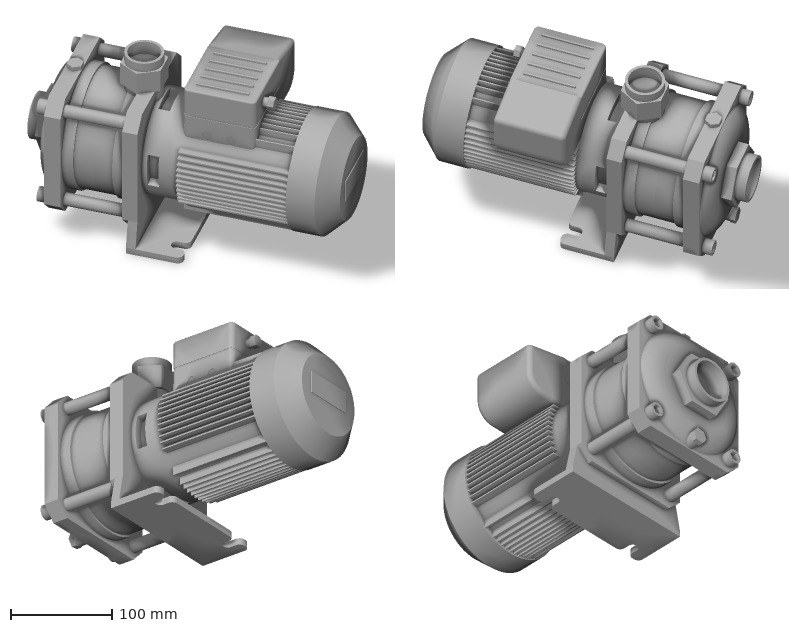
import cadquery as cq
import math


INLET_NUT_X = 11.1
DOME_X = 22.1
FRONT_FLANGE_X = 32.2
FRONT_FLANGE_END = 49.5
FRONT_RING_END = 61.3
HOUSING_SPLIT_X = 81.4
REAR_RING_X = 101.9
REAR_FLANGE_X = 113.8
REAR_FLANGE_END = 129.7
WINDOW_X = 134.8
WINDOW_LENGTH = 12.0
MOTOR_X = 158.8
FINS_X = 167.0
FAN_COVER_X = 282.3
FAN_CONE_X = 312.3
FAN_COVER_END = 332.3
OVERALL_LENGTH = 333.2

INLET_DIA = 48.4
INLET_BORE_DIA = 42.4
DOME_FACE_DIA = 90.7
DOME_DIA = 134.6
RING_DIA = 130.0
STAGE_DIA = 125.0
CORE_DIA = 110.0
WINDOW_FLOOR_DIA = 92.0
WINDOW_ANGLE = 39.4

FLANGE_SIZE = 138.0
FLANGE_CHAMFER = 15.0
SHAFT_HEIGHT = 90.0
FOOT_WIDTH = 150.0
FOOT_WEB_THICKNESS = 10.0
FOOT_PLATE_THICKNESS = 7.2
FOOT_END_X = 177.8
FOOT_CORNER_RADIUS = 6.0
FOOT_SLOT_WIDTH = 11.0
FOOT_SLOT_SPACING = 110.0
FOOT_SLOT_CENTER_X = 165.8

INLET_NUT_FLATS = 59.0
OUTLET_TOP_Z = 104.0
OUTLET_DIA = 39.7
OUTLET_BORE_DIA = 33.7
OUTLET_BORE_DEPTH = 15.0
OUTLET_NUT_FLATS = 42.0
OUTLET_NUT_TOP_Z = 93.9
PLUG_FLATS = 15.0
PLUG_HEAD_HEIGHT = 5.0
VENT_PLUG_X = 41.8
DRAIN_PLUG_Z = -60.4
DRAIN_HEAD_X = 16.5
DRAIN_HEAD_LENGTH = 5.6
DRAIN_COLLAR_DIA = 15.0
DRAIN_PLUG_TILT = 8.0

BOLT_SPACING = 108.0
BOLT_DIA = 13.45
BOLT_HEAD_DIA = 15.7
BOLT_SOCKET_FLATS = 10.0
BOLT_SOCKET_DEPTH = 6.0
BOLT_ENGAGEMENT = 10.0

FIN_TIP_DIA = 124.0
FIN_THICKNESS = 1.6
FIN_PITCH = 6.0
SIDE_FINS = 11
UPRIGHT_FINS = 9
OUTER_UPRIGHT_FIN_Y = 35.0
FAN_COVER_DIA = 126.0
FAN_COVER_END_DIA = 86.0
END_PLATE_WIDTH = 55.6
END_PLATE_HEIGHT = 23.6
END_PLATE_Z = 3.0

BOX_LENGTH = 75.4
BOX_FRONT_Y = -38.2
BOX_BACK_Y = 88.2
BOX_TOP_Z = 97.2
BOX_RIDGE_Y = 38.6
BOX_STEP_Y = 37.3
BOX_RIDGE_Z = 99.4
BOX_BACK_TOP_Z = 89.5
BOX_BOTTOM_Z = 35.3
BOX_BELLY_RADIUS = 21.5
BOX_CORNER_RADIUS = 5.0
LID_EDGE_RADIUS = 2.0
LID_SEAM_Z = 65.4
LID_SEAM_HEIGHT = 2.0
LID_SEAM_DEPTH = 0.5
LID_RIBS = 5
LID_RIB_PITCH = 13.5
LID_RIB_LENGTH = 55.0
LID_RIB_WIDTH = 2.0
LID_RIB_HEIGHT = 2.0
CABLE_ENTRY_DIA = 11.0
CABLE_ENTRY_SPACING = 25.0
CABLE_ENTRY_Z = 45.4
CABLE_ENTRY_DEPTH = 0.5
GLAND_Y = -12.0
GLAND_Z = 81.5
GLAND_DIA = 10.0
GLAND_NECK_LENGTH = 4.7
GLAND_HEAD_LENGTH = 7.2
GLAND_FLATS = 11.5


def hex_corner_dia(flats):
    return flats / math.cos(math.radians(30))


def plane_at(x):
    """Plane across the shaft: local x is +Y and local y is +Z."""
    return cq.Workplane("YZ", origin=(x, 0, 0))


def shaft_cylinder(x_start, x_end, diameter):
    return plane_at(x_start).circle(diameter / 2).extrude(x_end - x_start)


def shaft_hexagon(x, length, flats, y=0.0, z=0.0):
    """Hexagonal prism along X with flats at top and bottom."""
    return plane_at(x).center(y, z).polygon(6, hex_corner_dia(flats)).extrude(length)


def upright_hexagon(x, z, height, flats):
    """Hexagonal prism along Z with flats across X."""
    prism = cq.Workplane("XY").polygon(6, hex_corner_dia(flats)).extrude(height)
    return prism.rotate((0, 0, 0), (0, 0, 1), 30).translate((x, 0, z))


def square_flange(x_start, x_end):
    plate = plane_at(x_start).rect(FLANGE_SIZE, FLANGE_SIZE).extrude(x_end - x_start)
    return plate.edges("|X").chamfer(FLANGE_CHAMFER)


def bolt_positions(x):
    return plane_at(x).rect(BOLT_SPACING, BOLT_SPACING, forConstruction=True).vertices()


def bolt_holes(x_start, x_end):
    return bolt_positions(x_start).circle(BOLT_DIA / 2).extrude(x_end - x_start)


def dome():
    """Domed cover whose curve leaves the flat face smoothly and runs out to the flange."""
    depth = FRONT_FLANGE_X - DOME_X
    face_radius = DOME_FACE_DIA / 2
    spread = DOME_DIA / 2 - face_radius
    curve_radius = (spread**2 + depth**2) / (2 * depth)
    half_turn = math.atan2(spread, curve_radius - depth) / 2
    middle = (
        DOME_X + curve_radius * (1 - math.cos(half_turn)),
        face_radius + curve_radius * math.sin(half_turn),
    )
    outline = (
        cq.Workplane("XY")
        .moveTo(DOME_X, 0)
        .lineTo(DOME_X, face_radius)
        .threePointArc(middle, (FRONT_FLANGE_X, DOME_DIA / 2))
        .lineTo(FRONT_FLANGE_X, 0)
        .close()
    )
    return outline.revolve(360, (0, 0, 0), (1, 0, 0))


def drain_plug():
    collar_x = DRAIN_HEAD_X + DRAIN_HEAD_LENGTH
    head = shaft_hexagon(DRAIN_HEAD_X, DRAIN_HEAD_LENGTH, PLUG_FLATS)
    head = head.rotate((0, 0, 0), (1, 0, 0), DRAIN_PLUG_TILT)
    collar = shaft_cylinder(collar_x, FRONT_FLANGE_X, DRAIN_COLLAR_DIA)
    return head.union(collar).translate((0, 0, DRAIN_PLUG_Z))


def build_inlet_housing():
    housing = shaft_cylinder(0, INLET_NUT_X, INLET_DIA)
    housing = housing.union(shaft_hexagon(INLET_NUT_X, DOME_X - INLET_NUT_X, INLET_NUT_FLATS))
    housing = housing.union(dome())
    housing = housing.union(square_flange(FRONT_FLANGE_X, FRONT_FLANGE_END))
    housing = housing.union(shaft_cylinder(FRONT_FLANGE_END, FRONT_RING_END, RING_DIA))
    housing = housing.union(shaft_cylinder(FRONT_RING_END, HOUSING_SPLIT_X, STAGE_DIA))
    housing = housing.union(upright_hexagon(VENT_PLUG_X, FLANGE_SIZE / 2, PLUG_HEAD_HEIGHT, PLUG_FLATS))
    housing = housing.union(drain_plug())
    housing = housing.cut(shaft_cylinder(0, DOME_X, INLET_BORE_DIA))
    return housing.cut(bolt_holes(FRONT_FLANGE_X, FRONT_FLANGE_END))


def outlet():
    """Solid outlet port standing on the housing, centred over the front of the rear flange."""
    nut_z = FLANGE_SIZE / 2
    port = cq.Workplane("XY", origin=(REAR_FLANGE_X, 0, 0)).circle(OUTLET_DIA / 2).extrude(OUTLET_TOP_Z)
    nut = upright_hexagon(REAR_FLANGE_X, nut_z, OUTLET_NUT_TOP_Z - nut_z, OUTLET_NUT_FLATS)
    bore = (
        cq.Workplane("XY", origin=(REAR_FLANGE_X, 0, OUTLET_TOP_Z - OUTLET_BORE_DEPTH))
        .circle(OUTLET_BORE_DIA / 2)
        .extrude(OUTLET_BORE_DEPTH)
    )
    return port.union(nut).cut(bore)


def foot():
    """Flared web under the rear flange and a slotted plate reaching back below the motor."""
    web_x = REAR_FLANGE_END - FOOT_WEB_THICKNESS
    web_top_z = FLANGE_CHAMFER - FLANGE_SIZE / 2
    web = (
        plane_at(web_x)
        .moveTo(-FLANGE_SIZE / 2, web_top_z)
        .lineTo(FLANGE_SIZE / 2, web_top_z)
        .lineTo(FOOT_WIDTH / 2, FOOT_PLATE_THICKNESS - SHAFT_HEIGHT)
        .lineTo(FOOT_WIDTH / 2, -SHAFT_HEIGHT)
        .lineTo(-FOOT_WIDTH / 2, -SHAFT_HEIGHT)
        .lineTo(-FOOT_WIDTH / 2, FOOT_PLATE_THICKNESS - SHAFT_HEIGHT)
        .close()
        .extrude(FOOT_WEB_THICKNESS)
    )
    bottom = cq.Workplane("XY", origin=(0, 0, -SHAFT_HEIGHT))
    plate_length = FOOT_END_X - web_x
    plate = bottom.center(web_x + plate_length / 2, 0).rect(plate_length, FOOT_WIDTH)
    plate = plate.extrude(FOOT_PLATE_THICKNESS)
    slot_centers = [(FOOT_SLOT_CENTER_X, side * FOOT_SLOT_SPACING / 2) for side in (-1, 1)]
    slot_ends = bottom.pushPoints(slot_centers).circle(FOOT_SLOT_WIDTH / 2).extrude(FOOT_PLATE_THICKNESS)
    mouth_length = FOOT_END_X - FOOT_SLOT_CENTER_X
    mouth_centers = [(x + mouth_length / 2, y) for x, y in slot_centers]
    mouths = bottom.pushPoints(mouth_centers).rect(mouth_length, FOOT_SLOT_WIDTH)
    mouths = mouths.extrude(FOOT_PLATE_THICKNESS)
    plate = plate.cut(slot_ends).cut(mouths)
    plate = plate.faces(">X").edges("|Z").fillet(FOOT_CORNER_RADIUS)
    return web.union(plate)


def adapter_windows():
    """Four sectors with radial side walls, cut from the adapter down to its inner cylinder."""
    half_angle = math.radians(WINDOW_ANGLE / 2)
    reach = CORE_DIA
    corner = (reach * math.sin(half_angle), reach * math.cos(half_angle))
    sector = (
        plane_at(WINDOW_X)
        .lineTo(corner[0], corner[1])
        .lineTo(-corner[0], corner[1])
        .close()
        .extrude(WINDOW_LENGTH)
    )
    windows = sector
    for quarter in range(1, 4):
        windows = windows.union(sector.rotate((0, 0, 0), (1, 0, 0), 90 * quarter))
    return windows.cut(shaft_cylinder(WINDOW_X, WINDOW_X + WINDOW_LENGTH, WINDOW_FLOOR_DIA))


def build_discharge_housing():
    adapter = shaft_cylinder(REAR_FLANGE_END, MOTOR_X, CORE_DIA).cut(adapter_windows())
    housing = shaft_cylinder(HOUSING_SPLIT_X, REAR_RING_X, STAGE_DIA)
    housing = housing.union(shaft_cylinder(REAR_RING_X, REAR_FLANGE_X, RING_DIA))
    housing = housing.union(square_flange(REAR_FLANGE_X, REAR_FLANGE_END))
    housing = housing.union(adapter)
    housing = housing.union(outlet())
    housing = housing.union(foot())
    return housing.cut(bolt_holes(REAR_FLANGE_X, REAR_FLANGE_X + BOLT_ENGAGEMENT))


def build_tie_bolt(y, z):
    shank_length = REAR_FLANGE_X + BOLT_ENGAGEMENT - FRONT_FLANGE_X
    bolt = plane_at(DOME_X).circle(BOLT_HEAD_DIA / 2).extrude(FRONT_FLANGE_X - DOME_X)
    bolt = bolt.union(plane_at(FRONT_FLANGE_X).circle(BOLT_DIA / 2).extrude(shank_length))
    bolt = bolt.cut(shaft_hexagon(DOME_X, BOLT_SOCKET_DEPTH, BOLT_SOCKET_FLATS))
    return bolt.translate((0, y, z))


def box_blank():
    """Box before it is fitted to the motor: a flat lidded part and a sloping part behind a ridge."""
    belly_y = BOX_BACK_Y - BOX_BELLY_RADIUS
    belly_z = BOX_BOTTOM_Z + BOX_BELLY_RADIUS
    belly_reach = BOX_BELLY_RADIUS * math.sqrt(0.5)
    slope = (BOX_RIDGE_Z - BOX_BACK_TOP_Z) / (BOX_BACK_Y - BOX_RIDGE_Y)
    sloped_top_z = BOX_BACK_TOP_Z + slope * BOX_BACK_Y
    sloped = (
        plane_at(FINS_X)
        .moveTo(0, BOX_BOTTOM_Z)
        .lineTo(0, sloped_top_z)
        .lineTo(BOX_BACK_Y, BOX_BACK_TOP_Z)
        .lineTo(BOX_BACK_Y, belly_z)
        .threePointArc((belly_y + belly_reach, belly_z - belly_reach), (belly_y, BOX_BOTTOM_Z))
        .close()
        .extrude(BOX_LENGTH)
    )
    sloped = sloped.faces(">Y").edges(">Z").fillet(BOX_CORNER_RADIUS)
    sloped = sloped.faces("<X or >X").edges("not <Y").fillet(BOX_CORNER_RADIUS)
    lid_clearance = (
        plane_at(FINS_X)
        .moveTo(0, 0)
        .lineTo(BOX_STEP_Y, 0)
        .lineTo(BOX_STEP_Y, BOX_TOP_Z)
        .lineTo(BOX_RIDGE_Y, BOX_RIDGE_Z)
        .lineTo(BOX_RIDGE_Y, sloped_top_z)
        .lineTo(0, sloped_top_z)
        .close()
        .extrude(BOX_LENGTH)
    )
    sloped = sloped.cut(lid_clearance)
    flat = (
        plane_at(FINS_X)
        .moveTo(BOX_FRONT_Y, 0)
        .lineTo(BOX_FRONT_Y, BOX_TOP_Z)
        .lineTo(BOX_STEP_Y, BOX_TOP_Z)
        .lineTo(BOX_STEP_Y, 0)
        .close()
        .extrude(BOX_LENGTH)
    )
    flat = flat.faces("<Y").edges("|Z").fillet(BOX_CORNER_RADIUS)
    flat = flat.faces(">Z").edges("not >Y").fillet(LID_EDGE_RADIUS)
    return flat.union(sloped)


def lid_seam():
    """Shallow groove along the front and both ends, between the lid and the base."""
    depth_y = BOX_STEP_Y - BOX_FRONT_Y
    groove_base = (FINS_X + BOX_LENGTH / 2, (BOX_STEP_Y + BOX_FRONT_Y) / 2, LID_SEAM_Z)
    band = cq.Workplane("XY", origin=groove_base).rect(BOX_LENGTH, depth_y).extrude(LID_SEAM_HEIGHT)
    inner_length = BOX_LENGTH - 2 * LID_SEAM_DEPTH
    core = cq.Workplane("XY", origin=groove_base).center(0, LID_SEAM_DEPTH).rect(inner_length, depth_y)
    core = core.extrude(LID_SEAM_HEIGHT).faces("<Y").edges("|Z").fillet(BOX_CORNER_RADIUS - LID_SEAM_DEPTH)
    return band.cut(core)


def lid_ribs():
    rib_y = [(index - (LID_RIBS - 1) / 2) * LID_RIB_PITCH for index in range(LID_RIBS)]
    lid = cq.Workplane("XY", origin=(FINS_X + BOX_LENGTH / 2, 0, BOX_TOP_Z))
    ribs = lid.pushPoints([(0, y) for y in rib_y]).rect(LID_RIB_LENGTH, LID_RIB_WIDTH)
    return ribs.extrude(LID_RIB_HEIGHT)


def cable_entries():
    front = cq.Workplane("XZ", origin=(FINS_X + BOX_LENGTH / 2, BOX_FRONT_Y, CABLE_ENTRY_Z))
    entries = front.rarray(CABLE_ENTRY_SPACING, 1, 2, 1).circle(CABLE_ENTRY_DIA / 2)
    return entries.extrude(-CABLE_ENTRY_DEPTH)


def cable_gland():
    neck_x = FINS_X + BOX_LENGTH
    neck = plane_at(neck_x).center(GLAND_Y, GLAND_Z).circle(GLAND_DIA / 2).extrude(GLAND_NECK_LENGTH)
    return neck.union(
        shaft_hexagon(neck_x + GLAND_NECK_LENGTH, GLAND_HEAD_LENGTH, GLAND_FLATS, GLAND_Y, GLAND_Z)
    )


def build_terminal_box():
    box = box_blank().cut(shaft_cylinder(FINS_X, FAN_COVER_X, CORE_DIA))
    box = box.cut(lid_seam()).cut(cable_entries())
    return box.union(lid_ribs()).union(cable_gland())


def fin_pair(offset, angle):
    """Two opposite fins, as one bar across the motor beside its centre plane."""
    span = 2 * math.sqrt((FIN_TIP_DIA / 2) ** 2 - offset**2)
    bar = plane_at(FINS_X).center(0, offset).rect(span, FIN_THICKNESS).extrude(FAN_COVER_X - FINS_X)
    return bar.rotate((0, 0, 0), (1, 0, 0), angle)


def centered_offsets(count):
    return [(index - (count - 1) / 2) * FIN_PITCH for index in range(count)]


def motor_fins():
    """Level fins on both sides and upright fins above and below, with tips on one cylinder."""
    upright_offsets = centered_offsets(UPRIGHT_FINS) + [-OUTER_UPRIGHT_FIN_Y, OUTER_UPRIGHT_FIN_Y]
    fin_pairs = [fin_pair(offset, 0) for offset in centered_offsets(SIDE_FINS)]
    fin_pairs += [fin_pair(offset, 90) for offset in upright_offsets]
    return fin_pairs


def fan_cover():
    cone_length = FAN_COVER_END - FAN_CONE_X
    barrel = shaft_cylinder(FAN_COVER_X, FAN_CONE_X, FAN_COVER_DIA)
    cone = plane_at(FAN_CONE_X).circle(FAN_COVER_DIA / 2).workplane(offset=cone_length)
    cone = cone.circle(FAN_COVER_END_DIA / 2).loft(ruled=True)
    plate = plane_at(FAN_COVER_END).center(0, END_PLATE_Z).rect(END_PLATE_WIDTH, END_PLATE_HEIGHT)
    return barrel.union(cone).union(plate.extrude(OVERALL_LENGTH - FAN_COVER_END))


def build_motor():
    """Motor with a finned core; the fins stop where the terminal box sits on the core."""
    box_space = box_blank()
    motor = shaft_cylinder(MOTOR_X, FAN_COVER_X, CORE_DIA)
    for fins in motor_fins():
        motor = motor.union(fins.cut(box_space))
    return motor.union(fan_cover())


inlet_housing = build_inlet_housing()
discharge_housing = build_discharge_housing()
motor = build_motor()
terminal_box = build_terminal_box()
tie_bolts = [
    build_tie_bolt(y_side * BOLT_SPACING / 2, z_side * BOLT_SPACING / 2)
    for y_side in (-1, 1)
    for z_side in (-1, 1)
]

result = cq.Compound.makeCompound([
    inlet_housing.val(),
    discharge_housing.val(),
    motor.val(),
    terminal_box.val(),
    *[bolt.val() for bolt in tie_bolts],
])